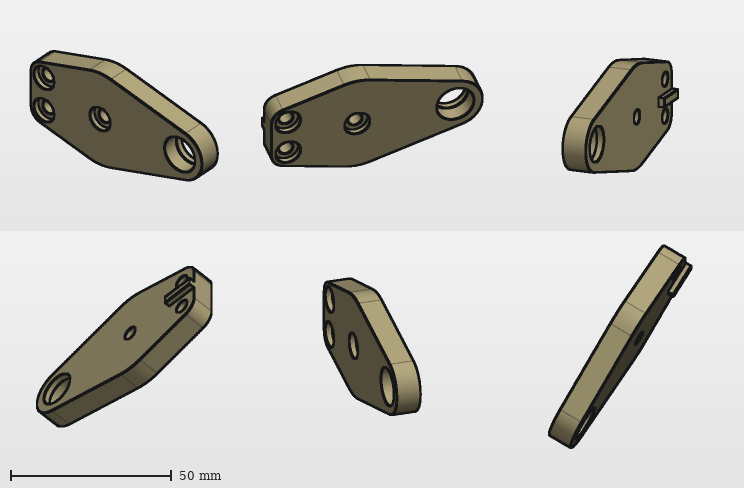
import cadquery as cq
import math

length = 69.0
height = 34.0
thickness = 8.0
edge_chamfer = 0.2

waist_radius = height / 2
waist_x = 28.0
eye_radius = 9.0
eye_x = length - eye_radius
corner_radius = 5.05

screw_radius = 2.2
screw_bore_radius = 4.0
screw_bore_depth = 2.2
screw_x = 5.45
screw_z = 6.0

eye_hole_radius = 5.6
eye_bore_radius = 6.0
eye_bore_depth = 5.5

key_length = 10.8
key_height = 3.0
key_projection = 2.0

flank_sin = (waist_radius - eye_radius) / (eye_x - waist_x)
flank_cos = math.sqrt(1 - flank_sin**2)
flank_angle = math.asin(flank_sin)

corner_z = (waist_radius - corner_radius - (waist_x - corner_radius) * flank_sin) / flank_cos


def make_plate():
    """Tapered plate with rounded corners, chamfered around both faces."""

    def flank_point(center_x, center_z, radius, side):
        """Tangent point of an upper flank; side is +1 for right, -1 for left."""
        return (center_x + side * radius * flank_sin, center_z + radius * flank_cos)

    def mirrored(point):
        return (point[0], -point[1])

    corner_start = (0, corner_z)
    corner_mid_angle = math.pi - (math.pi / 2 - flank_angle) / 2
    corner_mid = (
        corner_radius + corner_radius * math.cos(corner_mid_angle),
        corner_z + corner_radius * math.sin(corner_mid_angle),
    )
    corner_end = flank_point(corner_radius, corner_z, corner_radius, -1)
    waist_start = flank_point(waist_x, 0, waist_radius, -1)
    waist_top = (waist_x, waist_radius)
    waist_end = flank_point(waist_x, 0, waist_radius, 1)
    eye_start = flank_point(eye_x, 0, eye_radius, 1)

    return (
        cq.Workplane("XZ")
        .moveTo(*corner_start)
        .threePointArc(corner_mid, corner_end)
        .lineTo(*waist_start)
        .threePointArc(waist_top, waist_end)
        .lineTo(*eye_start)
        .threePointArc((length, 0), mirrored(eye_start))
        .lineTo(*mirrored(waist_end))
        .threePointArc(mirrored(waist_top), mirrored(waist_start))
        .lineTo(*mirrored(corner_end))
        .threePointArc(mirrored(corner_mid), mirrored(corner_start))
        .close()
        .extrude(-thickness)
        .faces("<Y or >Y")
        .chamfer(edge_chamfer)
    )


def make_stepped_hole(x, z, radius, bore_radius, bore_depth, step_chamfer=0):
    """Through hole with a wider front bore, chamfered at both faces and optionally at the step."""
    step = [(radius, bore_depth)]
    if step_chamfer:
        step = [(radius + step_chamfer, bore_depth), (radius, bore_depth + step_chamfer)]
    profile = [
        (0, 0),
        (bore_radius + edge_chamfer, 0),
        (bore_radius, edge_chamfer),
        (bore_radius, bore_depth),
        *step,
        (radius, thickness - edge_chamfer),
        (radius + edge_chamfer, thickness),
        (0, thickness),
    ]
    cutter = cq.Workplane("XY").polyline(profile).close().revolve(360, (0, 0), (0, 1))
    return cutter.translate((x, 0, z))


def make_key():
    """Bar rooted inside the plate, with its outer face chamfered except at the flush left end."""
    root = thickness / 2
    return (
        cq.Workplane("XY")
        .box(key_length, root + key_projection, key_height, centered=(False, False, True))
        .translate((0, root, 0))
        .faces(">Y")
        .edges("not <X")
        .chamfer(edge_chamfer)
    )


result = make_plate().union(make_key())
for x, z in [(screw_x, screw_z), (screw_x, -screw_z), (waist_x, 0)]:
    screw_hole = make_stepped_hole(
        x, z, screw_radius, screw_bore_radius, screw_bore_depth, edge_chamfer
    )
    result = result.cut(screw_hole)
result = result.cut(make_stepped_hole(eye_x, 0, eye_hole_radius, eye_bore_radius, eye_bore_depth))